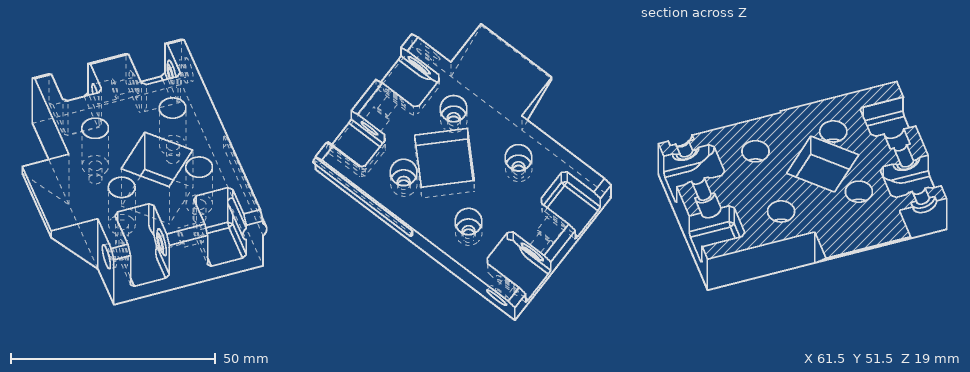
import cadquery as cq

length = 61.5
depth = 38.5
height = 19.0
end_chamfer = 2.0

nose_left = 27.55
nose_right = 49.4
nose_reach = 12.05
nose_tip_height = 2.6

lug_thickness = 4.3
slot_width = 10.0
flat_slot_length = 11.25
round_slot_length = 12.6
slot_floor_z = 5.0
slot_round_radius = 6.35
slot_chamfer = 1.0

flat_slot_front = lug_thickness
flat_slot_back = flat_slot_front + slot_width
round_slot_back = depth - lug_thickness
round_slot_front = round_slot_back - slot_width

pin_x = 5.65
pin_z = 11.9
pin_diameter = 3.2
pin_head_diameter = 6.0
pin_head_depth = 1.5
pin_nut_diameter = 5.0
pin_nut_depth = 5.0
boss_base_diameter = 6.75
boss_tip_diameter = 5.0
boss_height = 0.5

screw_diameter = 3.2
screw_head_diameter = 6.5
screw_head_depth = height - slot_floor_z
screw_pitch = 20.0
screw_center_x = 31.8
screw_center_y = 18.75

pocket_side = 13.05
pocket_x = 36.1
pocket_y = 19.8
pocket_depth = height - slot_floor_z

bar_diameter = 6.3
bar_start_x = 31.5
bar_y = depth - lug_thickness / 2
bar_z = 13.6


def box_between(x0, x1, y0, y1, z0, z1):
    return cq.Workplane("XY").box(x1 - x0, y1 - y0, z1 - z0, centered=False).translate((x0, y0, z0))


def cylinder_along_y(diameter, y0, y1):
    """Cylinder on the left pivot axis between two Y positions."""
    plane = cq.Workplane("XZ", origin=(pin_x, y0, pin_z))
    return plane.circle(diameter / 2).extrude(y0 - y1)


def at_both_ends(feature):
    """Join a left-end feature with its half-turn copy at the right end."""
    center = (length / 2, depth / 2)
    turned = feature.rotate((*center, 0), (*center, 1), 180)
    return feature.union(turned)


def make_block():
    outline = [
        (0, 0),
        (length, 0),
        (length, height - end_chamfer),
        (length - end_chamfer, height),
        (end_chamfer, height),
        (0, height - end_chamfer),
    ]
    return cq.Workplane("XZ").polyline(outline).close().extrude(-depth)


def make_nose():
    outline = [
        (0, 0),
        (0, height),
        (-nose_reach, height),
        (-nose_reach, height - nose_tip_height),
    ]
    plane = cq.Workplane("YZ", origin=(nose_left, 0, 0))
    return plane.polyline(outline).close().extrude(nose_right - nose_left)


def make_chamfered_slot(slot_length, front):
    """Slot with chamfered floor edges and chamfered upright inner corners."""
    slot = box_between(0, slot_length, front, front + slot_width, slot_floor_z, height)
    return slot.edges("(<Z and (not <X)) or (>X and |Z)").chamfer(slot_chamfer)


def make_round_slot():
    """Chamfered slot whose inner end sweeps up from the floor in a quarter circle."""
    sweep = box_between(0, round_slot_length, round_slot_front, round_slot_back, slot_floor_z, height)
    sweep = sweep.edges(">X and <Z").fillet(slot_round_radius)
    return make_chamfered_slot(round_slot_length, round_slot_front).intersect(sweep)


def make_boss(wall_y, direction):
    """Conical boss standing on a slot wall, pointing along +Y (1) or -Y (-1)."""
    return cq.Workplane(
        cq.Solid.makeCone(
            boss_base_diameter / 2,
            boss_tip_diameter / 2,
            boss_height,
            pnt=cq.Vector(pin_x, wall_y, pin_z),
            dir=cq.Vector(0, direction, 0),
        )
    )


def make_pin_hole():
    """Stepped hole: head recess in the back face, nut recess in the flat slot."""
    bore = cylinder_along_y(pin_diameter, flat_slot_back, depth)
    head = cylinder_along_y(pin_head_diameter, depth - pin_head_depth, depth)
    nut = cylinder_along_y(pin_nut_diameter, flat_slot_back, flat_slot_back + pin_nut_depth)
    return bore.union(head).union(nut)


flat_slot = make_chamfered_slot(flat_slot_length, flat_slot_front)
slots = flat_slot.union(make_round_slot())
bosses = make_boss(round_slot_front, 1).union(make_boss(round_slot_back, -1))
bar = cq.Workplane("YZ", origin=(bar_start_x, bar_y, bar_z)).circle(bar_diameter / 2)
bar = bar.extrude(length - bar_start_x)
pocket = cq.Workplane("XY").rect(pocket_side, pocket_side).extrude(pocket_depth)
pocket = pocket.rotate((0, 0, 0), (0, 0, 1), 45)
pocket = pocket.translate((pocket_x, pocket_y, height - pocket_depth))

result = make_block().union(make_nose())
result = result.cut(at_both_ends(slots))
result = result.union(at_both_ends(bosses))
result = result.cut(at_both_ends(make_pin_hole()))
result = result.union(bar)
result = result.cut(pocket)
result = (
    result.copyWorkplane(cq.Workplane("XY", origin=(screw_center_x, screw_center_y, height)))
    .rarray(screw_pitch, screw_pitch, 2, 2)
    .cboreHole(screw_diameter, screw_head_diameter, screw_head_depth)
)